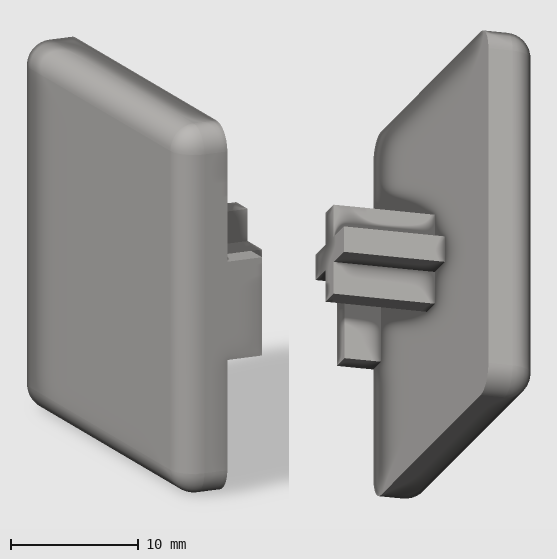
import cadquery as cq

plate_side = 30.0
plate_thickness = 4.0
edge_radius = 2.0

stem_length = 8.3
stem_span = 7.35
stem_web = 2.1

tab_width = 2.0
tab_length = 3.0
tab_height = 8.0


def block_on_back(width, length, height, center_x=0.0):
    """Block standing on the back face and extending towards +Y."""
    return (
        cq.Workplane("XY")
        .box(width, length, height, centered=(True, False, True))
        .translate((center_x, 0, 0))
    )


def rounded_plate():
    """Square plate with rounded corners and a rounded front rim."""
    plate = block_on_back(plate_side, plate_thickness, plate_side)
    plate = plate.translate((0, -plate_thickness, 0))
    plate = plate.edges("|Y").fillet(edge_radius)
    return plate.faces("<Y").edges().fillet(edge_radius)


def cross_stem():
    """Two crossed bars of equal length."""
    flat_bar = block_on_back(stem_span, stem_length, stem_web)
    upright_bar = block_on_back(stem_web, stem_length, stem_span)
    return flat_bar.union(upright_bar)


def side_tab():
    """Tab whose outer face lies in the +X side of the plate."""
    return block_on_back(tab_width, tab_length, tab_height, (plate_side - tab_width) / 2)


result = rounded_plate().union(cross_stem()).union(side_tab())